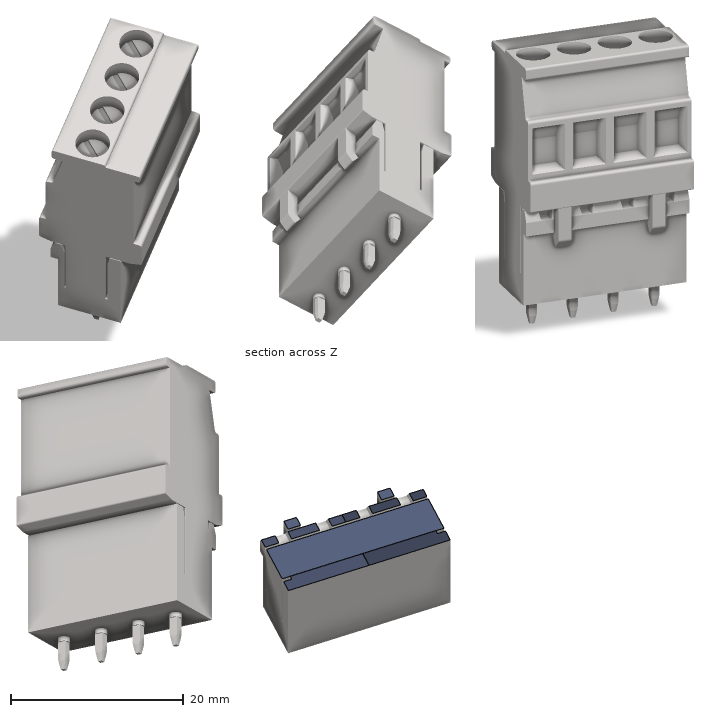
import cadquery as cq
import math


WIDTH = 20.32
POLES = 4
HEADERS = 2
PITCH = WIDTH / POLES
HEADER_WIDTH = WIDTH / HEADERS
POLES_PER_HEADER = POLES // HEADERS
POLE_YS = [(i - (POLES - 1) / 2) * PITCH for i in range(POLES)]

PLUG_TOP = 29.8
REAR_STEP_DROP = 0.37
REAR_STEP_X = 1.92
CAP_BOTTOM = 28.3
CAP_FRONT = -4.7
CAP_REAR = 6.17
CAP_ROUND = 0.27
NECK_FRONT = -3.35
SLANT_FOOT = -4.6
SHOULDER_TOP = 23.45
BODY_FRONT = -5.45
BODY_REAR = 5.35
COLLAR_TOP = 16.1
COLLAR_FRONT = -6.25
COLLAR_REAR = 6.37
COLLAR_EDGE = 12.45
SHOULDER_ROUND = 0.35
COLLAR_EDGE_ROUND = 0.17
PLUG_BOTTOM = 12.05
UNDERSIDE_FRONT = -4.82
UNDERSIDE_REAR = 5.0
TONGUE_FRONT = -3.0
TONGUE_REAR = 1.9
TONGUE_BOTTOM = 3.8

SCREW_X = -0.55
SCREW_HOLE_DIAMETER = 4.0
SCREW_HEAD_DIAMETER = 3.77
SCREW_HEAD_DEPTH = 1.8
HEAD_GAP_DEPTH = 0.35
DRIVER_SLOT_WIDTH = 0.67
DRIVER_SLOT_DEPTH = 0.35
DRIVER_SLOT_ANGLE = -45

ENTRY_WIDTH = 4.08
ENTRY_BOTTOM = 16.85
ENTRY_TOP = 22.6
ENTRY_DEPTH = 1.38
ENTRY_DRAFT = 0.6
ENTRY_FLAT_ROOF = 0.85
ENTRY_BACK_TOP = 20.65
ROOF_SCOOP_DIAMETER = 2.8
ROOF_SCOOP_REAR = -4.5

LATCH_WIDTH = 1.62
LATCH_Y = 5.85
LATCH_FRONT = -6.15
LATCH_REAR = UNDERSIDE_FRONT
LATCH_TIP = 7.4
LATCH_TIP_FRONT = -5.3
LATCH_TIP_REAR = -5.12
LATCH_NOSE_X = -4.4
LATCH_NOSE_Z = 8.45
LATCH_CATCH_Z = 8.9
LATCH_CHEEK_Z = 8.3
LATCH_CHEEK_ROUND = 0.5
LATCH_ROOT_FRONT = -6.2
LATCH_ROOT_Z = 12.8

HEADER_FRONT = -3.88
HEADER_REAR = 3.8
HEADER_TOP = 11.95
LIP_FRONT = UNDERSIDE_FRONT
LIP_BOTTOM = 8.95
LEAD_IN_Z = 10.65
LIP_TOP_FRONT = -4.25
SLOT_FRONT = -3.15
SLOT_TOP_FRONT = -3.47
END_RECESS_REAR = 2.15
END_RECESS_TOP_REAR = 2.43
END_RECESS_LENGTH = 1.0
NOTCH_TOP_WIDTH = 1.85
NOTCH_BOTTOM_WIDTH = 1.25

PIN_COLLAR_DIAMETER = 1.4
PIN_COLLAR_HEIGHT = 0.57
PIN_LENGTH = 3.9
PIN_HALF_WIDTH = 0.5
PIN_RIDGE = 0.1
PIN_TIP_HALF_WIDTH = 0.27
PIN_SIDE_TAPER_Z = -2.53
PIN_FACE_TAPER_Z = -2.9


def rounded_outline(plane, corners):
    """Closed outline through (u, v, radius) corners, each rounded by a tangent arc."""
    sketch = None
    for i, (u, v, radius) in enumerate(corners):
        corner = cq.Vector(u, v)
        to_previous = (cq.Vector(*corners[i - 1][:2]) - corner).normalized()
        to_next = (cq.Vector(*corners[(i + 1) % len(corners)][:2]) - corner).normalized()
        half_angle = to_previous.getAngle(to_next) / 2
        setback = radius / math.tan(half_angle)
        start = corner + to_previous * setback
        if sketch is None:
            sketch = cq.Workplane(plane).moveTo(start.x, start.y)
        else:
            sketch = sketch.lineTo(start.x, start.y)
        if radius > 0:
            bisector = (to_previous + to_next).normalized()
            middle = corner + bisector * (radius / math.sin(half_angle) - radius)
            end = corner + to_next * setback
            sketch = sketch.threePointArc((middle.x, middle.y), (end.x, end.y))
    return sketch.close()


def prism_along_y(corners, length, y):
    """Rounded X-Z outline, extruded along Y and centred on y."""
    outline = rounded_outline("XZ", corners)
    return outline.extrude(length / 2, both=True).translate((0, y, 0))


def plug_housing():
    rear_top = PLUG_TOP - REAR_STEP_DROP
    return prism_along_y(
        [
            (CAP_FRONT, PLUG_TOP, CAP_ROUND),
            (REAR_STEP_X, PLUG_TOP, CAP_ROUND),
            (REAR_STEP_X, rear_top, 0),
            (CAP_REAR, rear_top, CAP_ROUND),
            (CAP_REAR, CAP_BOTTOM, CAP_ROUND),
            (BODY_REAR, CAP_BOTTOM, 0),
            (BODY_REAR, COLLAR_TOP, 0),
            (COLLAR_REAR, COLLAR_TOP, SHOULDER_ROUND),
            (COLLAR_REAR, COLLAR_EDGE, COLLAR_EDGE_ROUND),
            (UNDERSIDE_REAR, PLUG_BOTTOM, 0),
            (TONGUE_REAR, PLUG_BOTTOM, 0),
            (TONGUE_REAR, TONGUE_BOTTOM, 0),
            (TONGUE_FRONT, TONGUE_BOTTOM, 0),
            (TONGUE_FRONT, PLUG_BOTTOM, 0),
            (UNDERSIDE_FRONT, PLUG_BOTTOM, 0),
            (COLLAR_FRONT, COLLAR_EDGE, COLLAR_EDGE_ROUND),
            (COLLAR_FRONT, COLLAR_TOP, SHOULDER_ROUND),
            (BODY_FRONT, COLLAR_TOP, 0),
            (BODY_FRONT, SHOULDER_TOP, SHOULDER_ROUND),
            (SLANT_FOOT, SHOULDER_TOP, SHOULDER_ROUND),
            (NECK_FRONT, CAP_BOTTOM, 0),
            (CAP_FRONT, CAP_BOTTOM, CAP_ROUND),
        ],
        WIDTH,
        0,
    )


def screw_recess(y):
    """Access hole above a screw head, with the gap around the head and its driver slot."""
    head_top = PLUG_TOP - SCREW_HEAD_DEPTH
    hole_depth = SCREW_HEAD_DEPTH + HEAD_GAP_DEPTH
    hole = cq.Workplane("XY").workplane(offset=head_top - HEAD_GAP_DEPTH)
    hole = hole.circle(SCREW_HOLE_DIAMETER / 2).extrude(hole_depth)
    head = cq.Workplane("XY").workplane(offset=head_top - HEAD_GAP_DEPTH)
    head = head.circle(SCREW_HEAD_DIAMETER / 2).extrude(HEAD_GAP_DEPTH)
    slot = cq.Workplane("XY").workplane(offset=head_top - DRIVER_SLOT_DEPTH)
    slot = slot.rect(SCREW_HEAD_DIAMETER, DRIVER_SLOT_WIDTH).extrude(DRIVER_SLOT_DEPTH)
    slot = slot.rotate((0, 0, 0), (0, 0, 1), DRIVER_SLOT_ANGLE)
    return hole.cut(head.cut(slot)).translate((SCREW_X, y, 0))


def wire_entry(y):
    """Funnel in the front face: drafted sides and floor, roof flat and then sloping down."""
    back = BODY_FRONT + ENTRY_DEPTH
    back_width = ENTRY_WIDTH - 2 * ENTRY_DRAFT
    plan = (
        cq.Workplane("XY")
        .workplane(offset=ENTRY_BOTTOM)
        .polyline([
            (BODY_FRONT, -ENTRY_WIDTH / 2),
            (back, -back_width / 2),
            (back, back_width / 2),
            (BODY_FRONT, ENTRY_WIDTH / 2),
        ])
        .close()
        .extrude(ENTRY_TOP - ENTRY_BOTTOM)
        .translate((0, y, 0))
    )
    side_profile = prism_along_y(
        [
            (BODY_FRONT, ENTRY_BOTTOM, 0),
            (back, ENTRY_BOTTOM + ENTRY_DRAFT, 0),
            (back, ENTRY_BACK_TOP, 0),
            (BODY_FRONT + ENTRY_FLAT_ROOF, ENTRY_TOP, 0),
            (BODY_FRONT, ENTRY_TOP, 0),
        ],
        ENTRY_WIDTH,
        y,
    )
    scoop = (
        cq.Workplane("XY")
        .workplane(offset=ENTRY_BACK_TOP)
        .center(ROOF_SCOOP_REAR - ROOF_SCOOP_DIAMETER / 2, y)
        .circle(ROOF_SCOOP_DIAMETER / 2)
        .extrude(ENTRY_TOP - ENTRY_BACK_TOP)
        .intersect(plan)
    )
    return plan.intersect(side_profile).union(scoop)


def latch(y):
    """Hook hanging from the collar, its nose catching under the header lip."""
    return prism_along_y(
        [
            (LATCH_ROOT_FRONT, LATCH_ROOT_Z, 0),
            (LATCH_FRONT, LATCH_CHEEK_Z, LATCH_CHEEK_ROUND),
            (LATCH_TIP_FRONT, LATCH_TIP, 0),
            (LATCH_TIP_REAR, LATCH_TIP, 0),
            (LATCH_NOSE_X, LATCH_NOSE_Z, 0),
            (LATCH_REAR, LATCH_CATCH_Z, 0),
            (LATCH_REAR, LATCH_ROOT_Z, 0),
        ],
        LATCH_WIDTH,
        y,
    )


def make_plug():
    plug = plug_housing()
    for y in (-LATCH_Y, LATCH_Y):
        plug = plug.union(latch(y))
    for y in POLE_YS:
        plug = plug.cut(screw_recess(y)).cut(wire_entry(y))
    return plug


def header_shell(y):
    """Trough with a lip along its front wall and a lead-in at the front of its slot."""
    return prism_along_y(
        [
            (HEADER_FRONT, 0, 0),
            (HEADER_REAR, 0, 0),
            (HEADER_REAR, HEADER_TOP, 0),
            (TONGUE_REAR, HEADER_TOP, 0),
            (TONGUE_REAR, TONGUE_BOTTOM, 0),
            (SLOT_FRONT, TONGUE_BOTTOM, 0),
            (SLOT_FRONT, LEAD_IN_Z, 0),
            (SLOT_TOP_FRONT, HEADER_TOP, 0),
            (LIP_TOP_FRONT, HEADER_TOP, 0),
            (LIP_FRONT, LEAD_IN_Z, 0),
            (LIP_FRONT, LIP_BOTTOM, 0),
            (HEADER_FRONT, LIP_BOTTOM, 0),
        ],
        HEADER_WIDTH,
        y,
    )


def end_recess(y):
    """Widening of the slot, with a lead-in, at one end of the row."""
    return prism_along_y(
        [
            (TONGUE_REAR, TONGUE_BOTTOM, 0),
            (END_RECESS_REAR, TONGUE_BOTTOM, 0),
            (END_RECESS_REAR, LEAD_IN_Z, 0),
            (END_RECESS_TOP_REAR, HEADER_TOP, 0),
            (TONGUE_REAR, HEADER_TOP, 0),
        ],
        END_RECESS_LENGTH,
        y,
    )


def rim_notch(y):
    """Tapered notch through the rim of the front wall, in line with a pin."""
    return (
        cq.Workplane("YZ")
        .workplane(offset=LIP_FRONT)
        .polyline([
            (y - NOTCH_BOTTOM_WIDTH / 2, LEAD_IN_Z),
            (y + NOTCH_BOTTOM_WIDTH / 2, LEAD_IN_Z),
            (y + NOTCH_TOP_WIDTH / 2, HEADER_TOP),
            (y - NOTCH_TOP_WIDTH / 2, HEADER_TOP),
        ])
        .close()
        .extrude(SLOT_FRONT - LIP_FRONT)
    )


def pin_section(workplane, half_depth):
    """Pin cross-section with a shallow ridge along its front side."""
    ridge_x = -half_depth - PIN_RIDGE / 2
    front = -half_depth + PIN_RIDGE / 2
    return workplane.polyline([
        (ridge_x, 0),
        (front, -PIN_HALF_WIDTH),
        (half_depth, -PIN_HALF_WIDTH),
        (half_depth, PIN_HALF_WIDTH),
        (front, PIN_HALF_WIDTH),
    ]).close()


def pin(y):
    """Solder pin below the header, tapered at its tip, with a round collar at its root."""
    shank = pin_section(cq.Workplane("XY"), PIN_HALF_WIDTH).extrude(PIN_FACE_TAPER_Z)
    tip = pin_section(cq.Workplane("XY").workplane(offset=PIN_FACE_TAPER_Z), PIN_HALF_WIDTH)
    tip = tip.workplane(offset=-PIN_LENGTH - PIN_FACE_TAPER_Z)
    tip = pin_section(tip, PIN_TIP_HALF_WIDTH).loft(ruled=True)
    side_taper = (
        cq.Workplane("YZ")
        .polyline([
            (-PIN_HALF_WIDTH, 0),
            (-PIN_HALF_WIDTH, PIN_SIDE_TAPER_Z),
            (-PIN_TIP_HALF_WIDTH, -PIN_LENGTH),
            (PIN_TIP_HALF_WIDTH, -PIN_LENGTH),
            (PIN_HALF_WIDTH, PIN_SIDE_TAPER_Z),
            (PIN_HALF_WIDTH, 0),
        ])
        .close()
        .extrude(PIN_COLLAR_DIAMETER, both=True)
    )
    collar = cq.Workplane("XY").circle(PIN_COLLAR_DIAMETER / 2).extrude(-PIN_COLLAR_HEIGHT)
    return shank.union(tip).intersect(side_taper).union(collar).translate((0, y, 0))


def make_header(index):
    header = header_shell((index - (HEADERS - 1) / 2) * HEADER_WIDTH)
    for side in (-1, 1):
        header = header.cut(end_recess(side * (WIDTH - END_RECESS_LENGTH) / 2))
    first_pole = index * POLES_PER_HEADER
    for y in POLE_YS[first_pole:first_pole + POLES_PER_HEADER]:
        header = header.cut(rim_notch(y)).union(pin(y))
    return header


plug = make_plug()
headers = [make_header(index) for index in range(HEADERS)]

result = cq.Compound.makeCompound([plug.val(), *[header.val() for header in headers]])